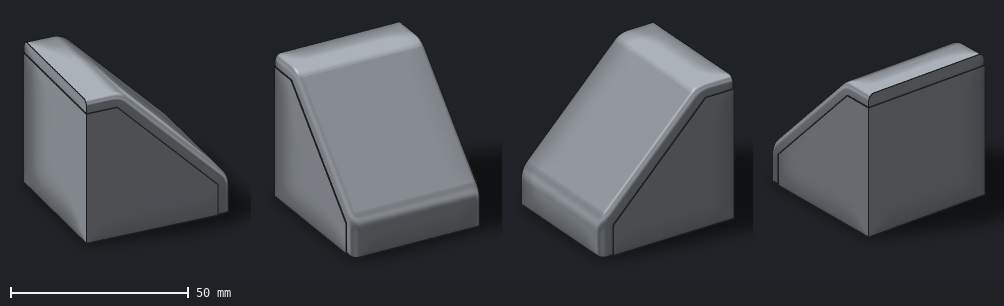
import cadquery as cq

block_width = 42.0
block_side = 41.0
block_flat = 9.68

overall_side = 45.0
cover_width = 41.6
cover_setback = 0.2
cover_bend_radius = 7.0
cover_edge_radius = 2.0

cover_thickness = overall_side - block_side
bend_shift = cover_thickness * (2**0.5 - 1)
cover_flat = block_flat + bend_shift


def wedge(width, start, side, flat):
    """Sloped profile in the YZ plane, extruded symmetrically along X."""
    return (
        cq.Workplane("YZ")
        .moveTo(start, start)
        .lineTo(side, start)
        .lineTo(side, flat)
        .lineTo(flat, side)
        .lineTo(start, side)
        .close()
        .extrude(width / 2, both=True)
    )


def make_cover():
    """Wedge with rounded bends, then rounded along both long outer edges."""
    cover = wedge(cover_width, cover_setback, overall_side, cover_flat)
    margin = 0.45
    bend_edges = cq.selectors.BoxSelector(
        (-cover_width, cover_flat - margin, cover_flat - margin),
        (cover_width, overall_side + margin, overall_side + margin),
    )
    cover = cover.edges("|X").edges(bend_edges).fillet(cover_bend_radius)
    outer_edges = cover.faces("<X or >X").edges("not(<Y or <Z)")
    return cover.newObject(outer_edges.vals()).fillet(cover_edge_radius)


block = wedge(block_width, 0, block_side, block_flat)
result = block.union(make_cover())